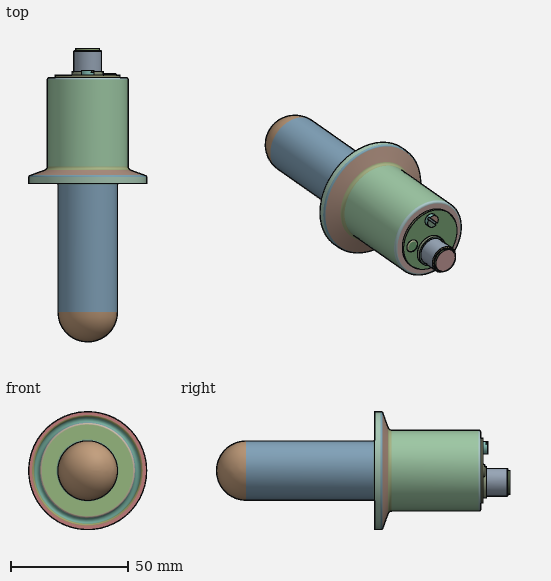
import cadquery as cq
import math


overall_length = 125.5

tube_radius = 25.5 / 2
tube_length = 67.65
tube_root_fillet = 0.5

flange_radius = 50.5 / 2
flange_edge_height = 3.3
flange_cone_angle = 20.0
flange_rim_fillet = 0.9
flange_neck_fillet = 1.6

groove_mid_radius = 21.6
groove_depth = 1.6
groove_floor_radius = 1.25
groove_wall_angle = 65.0
groove_lip_radius = 0.8

housing_radius = 34.7 / 2
housing_end = 45.35
housing_end_fillet = 1.0
plate_radius = 27.8 / 2
plate_end = 46.35

connector_z = -5.0
connector_end = overall_length - tube_length
connector_radius = 12.0 / 2
connector_tip_radius = 10.3 / 2
connector_tip_length = 0.9
connector_chamfer = 0.4
collar_radius = 13.5 / 2
collar_height = 1.5

screw_z = 9.8
screw_radius = 5.5 / 2
screw_height = 2.0
slot_width = 1.0
slot_depth = 0.8
slot_angle = 45.0

window_x = 9.5
window_radius = 5.5 / 2
window_height = 0.7
window_fillet = 0.65


def disc(radius, y_start, y_end, x=0.0, z=0.0):
    """Cylinder along Y between two Y positions."""
    plane = cq.Workplane("XZ", origin=(x, y_start, z))
    return plane.circle(radius).extrude(y_start - y_end)


def revolve_about_y(profile):
    """Turn a closed profile drawn in the XY plane about the Y axis."""
    return profile.revolve(360, (0, 0, 0), (0, 1, 0))


def make_tube():
    tip_centre = tube_radius - tube_length
    tip_mid = tube_radius * math.sqrt(0.5)
    return revolve_about_y(
        cq.Workplane("XY")
        .moveTo(0, 0)
        .lineTo(tube_radius + tube_root_fillet, 0)
        .radiusArc((tube_radius, -tube_root_fillet), -tube_root_fillet)
        .lineTo(tube_radius, tip_centre)
        .threePointArc((tip_mid, tip_centre - tip_mid), (0, -tube_length))
        .close()
    )


def make_flange_and_housing():
    slope = math.radians(flange_cone_angle)
    tangent_factor = math.tan((math.pi / 2 - slope) / 2)
    cone_top = flange_edge_height + (flange_radius - housing_radius) * math.tan(slope)

    rim_tangent = flange_rim_fillet * tangent_factor
    neck_tangent = flange_neck_fillet * tangent_factor
    rim_cone_point = (
        flange_radius - rim_tangent * math.cos(slope),
        flange_edge_height + rim_tangent * math.sin(slope),
    )
    neck_cone_point = (
        housing_radius + neck_tangent * math.cos(slope),
        cone_top - neck_tangent * math.sin(slope),
    )
    return revolve_about_y(
        cq.Workplane("XY")
        .moveTo(0, 0)
        .lineTo(flange_radius, 0)
        .lineTo(flange_radius, flange_edge_height - rim_tangent)
        .radiusArc(rim_cone_point, -flange_rim_fillet)
        .lineTo(*neck_cone_point)
        .radiusArc((housing_radius, cone_top + neck_tangent), flange_neck_fillet)
        .lineTo(housing_radius, housing_end - housing_end_fillet)
        .radiusArc((housing_radius - housing_end_fillet, housing_end), -housing_end_fillet)
        .lineTo(0, housing_end)
        .close()
    )


def make_gasket_groove():
    """Round-bottomed ring with steep walls and rounded lips, to be cut from the sealing face."""
    slope = math.radians(groove_wall_angle)
    rise = 1 - math.cos(slope)
    floor_offset = groove_floor_radius * math.sin(slope)
    floor_depth = groove_depth - groove_floor_radius * rise
    wall_offset = floor_offset + (floor_depth - groove_lip_radius * rise) / math.tan(slope)
    wall_depth = groove_lip_radius * rise
    face_offset = wall_offset + groove_lip_radius * math.sin(slope)
    return revolve_about_y(
        cq.Workplane("XY")
        .moveTo(groove_mid_radius - face_offset, 0)
        .radiusArc((groove_mid_radius - wall_offset, wall_depth), -groove_lip_radius)
        .lineTo(groove_mid_radius - floor_offset, floor_depth)
        .radiusArc((groove_mid_radius + floor_offset, floor_depth), groove_floor_radius)
        .lineTo(groove_mid_radius + wall_offset, wall_depth)
        .radiusArc((groove_mid_radius + face_offset, 0), -groove_lip_radius)
        .close()
    )


def make_connector():
    shoulder = connector_end - connector_tip_length
    thread = disc(connector_radius, plate_end, shoulder, z=connector_z)
    thread = thread.faces(">Y").chamfer(connector_chamfer)
    tip = disc(connector_tip_radius, shoulder, connector_end, z=connector_z)
    collar = disc(collar_radius, plate_end, plate_end + collar_height, z=connector_z)
    return thread.union(tip).union(collar)


def make_screw():
    top = plate_end + screw_height
    head = disc(screw_radius, plate_end, top, z=screw_z)
    slot = (
        cq.Workplane("XZ", origin=(0, top, screw_z))
        .transformed(rotate=(0, 0, slot_angle))
        .rect(2 * screw_radius + slot_width, slot_width)
        .extrude(slot_depth)
    )
    return head.cut(slot)


def make_window():
    window = disc(window_radius, plate_end, plate_end + window_height, x=window_x)
    return window.faces(">Y").edges().fillet(window_fillet)


result = (
    make_flange_and_housing()
    .union(make_tube())
    .cut(make_gasket_groove())
    .union(disc(plate_radius, housing_end, plate_end))
    .union(make_connector())
    .union(make_screw())
    .union(make_window())
)